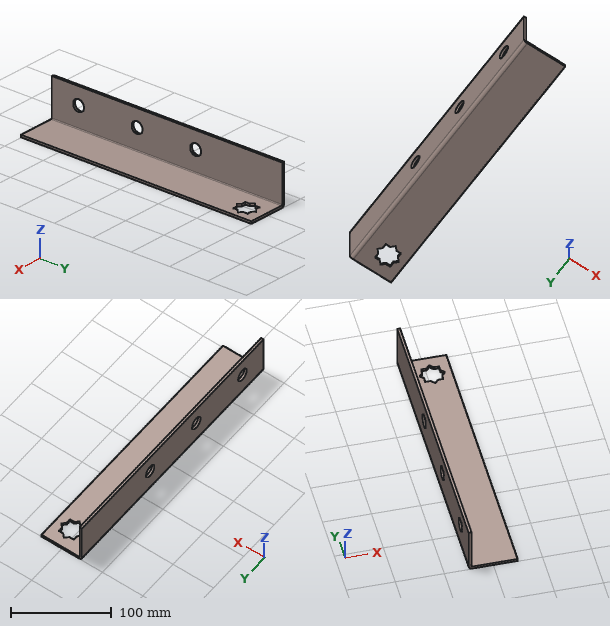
import cadquery as cq

length = 300.0
leg = 50.0
thickness = 3.0
inner_bend_radius = 1.0
outer_bend_radius = inner_bend_radius + thickness

hole_diameter = 14.0
hole_height = 28.5
hole_count = 3
first_hole_y = 34.8
hole_pitch = 76.2

star_square_side = 18.3
star_x = 30.0
star_end_distance = 23.5
cut_depth = 2 * thickness


def make_angle():
    """Bent L section with its outer corner along the Y axis."""
    flat_leg = cq.Workplane("XY").box(leg, length, thickness, centered=False)
    upright_leg = cq.Workplane("XY").box(thickness, length, leg, centered=False)
    inner_corner = cq.selectors.NearestToPointSelector((thickness, length / 2, thickness))
    outer_corner = cq.selectors.NearestToPointSelector((0, length / 2, 0))
    angle = flat_leg.union(upright_leg)
    angle = angle.edges("|Y").edges(inner_corner).fillet(inner_bend_radius)
    return angle.edges("|Y").edges(outer_corner).fillet(outer_bend_radius)


def make_round_holes():
    """Row of cutters passing through the upright leg."""
    centers = [(first_hole_y + i * hole_pitch, hole_height) for i in range(hole_count)]
    return cq.Workplane("YZ").pushPoints(centers).circle(hole_diameter / 2).extrude(cut_depth)


def make_star():
    """Cutter for the star opening."""
    square = cq.Workplane("XY").rect(star_square_side, star_square_side).extrude(cut_depth)
    turned_square = square.rotate((0, 0, 0), (0, 0, 1), 45)
    return square.union(turned_square).translate((star_x, length - star_end_distance, 0))


result = make_angle().cut(make_round_holes()).cut(make_star())